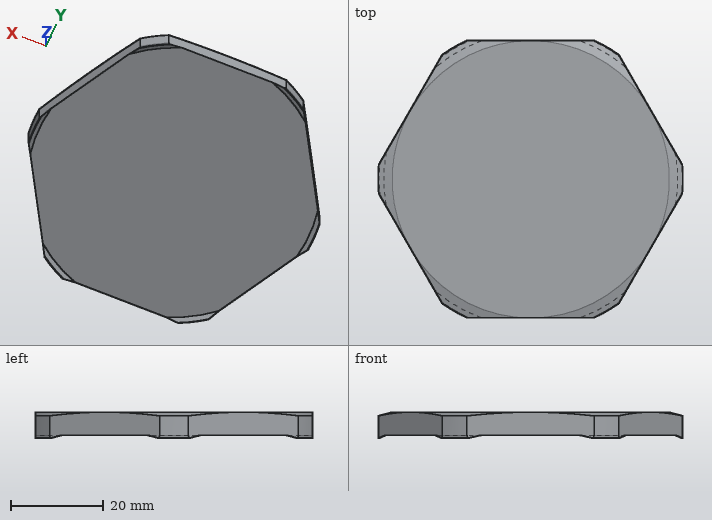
import cadquery as cq
import math

across_flats = 60.0
corner_diameter = 66.0
height = 5.6

top_chamfer_angle = 15.0

recess_depth = 0.6
recess_floor_diameter = 63.6
lip_outer_diameter = 65.88
lip_inner_diameter = 65.6

corner_radius = corner_diameter / 2
flat_radius = across_flats / 2
top_chamfer_drop = (corner_radius - flat_radius) * math.tan(math.radians(top_chamfer_angle))


def hexagonal_prism():
    """Hexagon with corners on the X axis and flats facing +Y and -Y."""
    across_corners = across_flats / math.cos(math.pi / 6)
    return cq.Workplane("XY").polygon(6, across_corners).extrude(height)


def turned_envelope():
    """Solid of revolution about Z that rounds the corners and shapes top and underside."""
    return (
        cq.Workplane("XZ")
        .moveTo(0, recess_depth)
        .lineTo(recess_floor_diameter / 2, recess_depth)
        .lineTo(lip_inner_diameter / 2, 0)
        .lineTo(lip_outer_diameter / 2, 0)
        .lineTo(corner_radius, recess_depth)
        .lineTo(corner_radius, height - top_chamfer_drop)
        .lineTo(flat_radius, height)
        .lineTo(0, height)
        .close()
        .revolve(360, (0, 0, 0), (0, 1, 0))
    )


result = hexagonal_prism().intersect(turned_envelope())